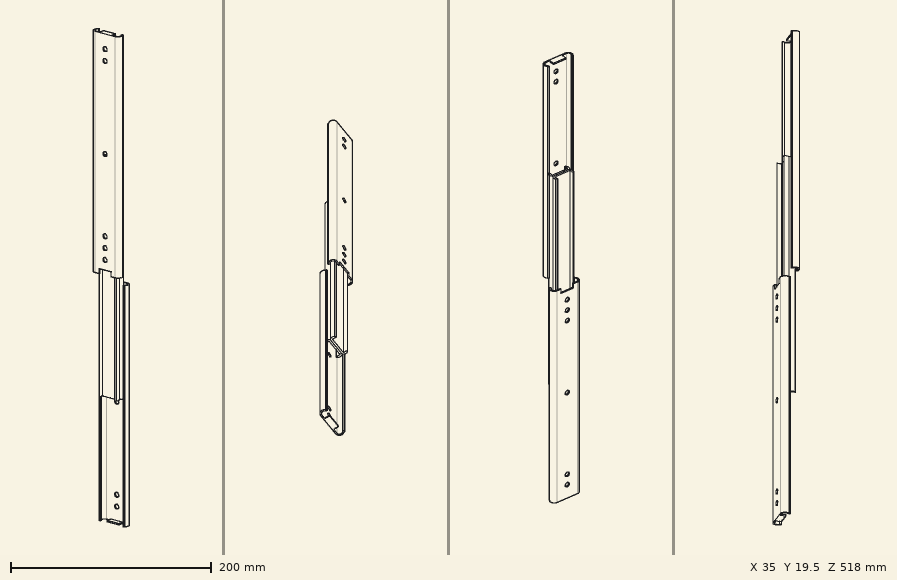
import cadquery as cq
import math


slide_length = 518.0
slide_width = 35.0
slide_depth = 19.5

sheet = 1.5
rail_length = 254.0
race_radius = 4.5
lip_outer_x = 16.0
lip_gap = 0.5
stop_width = 15.5
tab_reach = 7.0
notch_depth = 5.0
hole_diameter = 5.0
first_hole = 16.0
middle_hole = 126.5
last_hole = 238.0
hole_pitch = 12.5

channel_length = 252.0
channel_sheet = 2.0
channel_width = 24.0
channel_depth = 6.5
trough_width = 19.0
web_setback = 1.5
edge_bevel = 1.0

web_y = -slide_depth / 2
race_x = slide_width / 2 - race_radius
race_y = web_y + race_radius
hole_positions = [
    first_hole,
    first_hole + hole_pitch,
    middle_hole,
    last_hole - 2 * hole_pitch,
    last_hole - hole_pitch,
    last_hole,
]


def race_outline(side):
    """Section of one ball race and its lip; side is 1 for +X and -1 for -X."""
    inner_radius = race_radius - sheet
    lip_inner_x = lip_outer_x - sheet
    tip_y = -lip_gap

    def on_race(radius, angle):
        return (side * (race_x + radius * math.cos(angle)), race_y + radius * math.sin(angle))

    outer_end = math.acos((lip_outer_x - race_x) / race_radius)
    inner_end = math.acos((lip_inner_x - race_x) / inner_radius)
    return (
        cq.Workplane("XY")
        .moveTo(0, web_y)
        .lineTo(side * race_x, web_y)
        .threePointArc(on_race(race_radius, 0), on_race(race_radius, outer_end))
        .lineTo(side * lip_outer_x, tip_y)
        .lineTo(side * lip_inner_x, tip_y)
        .lineTo(*on_race(inner_radius, inner_end))
        .threePointArc(on_race(inner_radius, 0), on_race(inner_radius, -math.pi / 2))
        .lineTo(0, web_y + sheet)
        .close()
    )


def make_outer_rail():
    """Front outer rail: open towards +Y, stop tab at its top end, notch at its bottom end."""
    top = slide_length
    bottom = slide_length - rail_length
    rail = race_outline(1).extrude(rail_length).union(race_outline(-1).extrude(rail_length))
    rail = rail.translate((0, 0, bottom))

    tab = (
        cq.Workplane("XY")
        .box(stop_width, tab_reach, sheet, centered=(True, False, False))
        .translate((0, web_y, top - sheet))
    )
    notch = (
        cq.Workplane("XY")
        .box(stop_width, 2 * sheet, 2 * notch_depth)
        .translate((0, web_y + sheet / 2, bottom))
    )
    holes = (
        cq.Workplane("XZ", origin=(0, web_y + sheet, 0))
        .pushPoints([(0, top - distance) for distance in hole_positions])
        .circle(hole_diameter / 2)
        .extrude(2 * sheet)
    )
    return rail.union(tab).cut(notch).cut(holes)


def make_inner_channel():
    """Front inner channel: web on the plane Y = 0, barrelled flanges towards -Y."""
    half_width = channel_width / 2
    web_x = half_width - web_setback
    shoulder_x = half_width - edge_bevel / 2
    shoulder_y = edge_bevel - channel_depth
    tip_x = shoulder_x - edge_bevel
    section = (
        cq.Workplane("XY", origin=(0, 0, (slide_length - channel_length) / 2))
        .moveTo(-web_x, 0)
        .lineTo(web_x, 0)
        .threePointArc((half_width, shoulder_y / 2), (shoulder_x, shoulder_y))
        .lineTo(tip_x, -channel_depth)
        .lineTo(-tip_x, -channel_depth)
        .lineTo(-shoulder_x, shoulder_y)
        .threePointArc((-half_width, shoulder_y / 2), (-web_x, 0))
        .close()
    )
    trough = (
        cq.Workplane("XY")
        .box(trough_width, channel_depth, channel_length)
        .translate((0, -channel_depth / 2 - channel_sheet, slide_length / 2))
    )
    return section.extrude(channel_length).cut(trough)


def turned_over(body):
    """The same body turned half a turn about the X direction through the slide's centre."""
    centre = (0, 0, slide_length / 2)
    return body.rotate(centre, (1, 0, slide_length / 2), 180)


outer_rails = [make_outer_rail(), turned_over(make_outer_rail())]
inner_channels = [make_inner_channel(), turned_over(make_inner_channel())]

result = cq.Compound.makeCompound([body.val() for body in outer_rails + inner_channels])